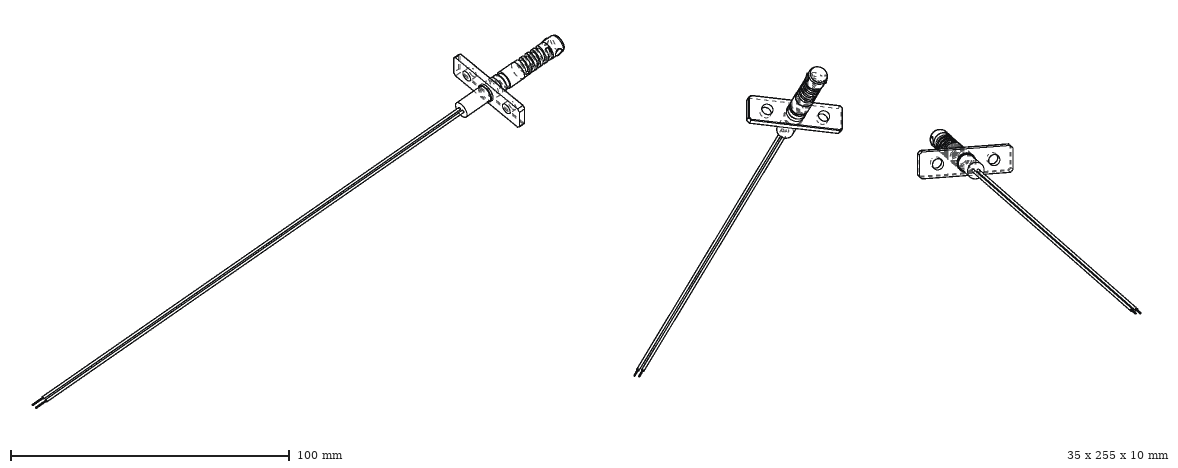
import cadquery as cq

overall_length = 254.99

plate_width = 35.0
plate_height = 10.0
plate_thickness = 2.8
plate_corner_chamfer = 1.0
plate_rear_chamfer = 0.3
screw_spacing = 21.0
screw_hole_diameter = 4.1

body_radius = 3.5
shoulder_length = 1.9
ring_radius = 3.4
ring_length = 2.2
neck_radius = 2.9
neck_length = 1.6
barrel_length = 6.8
spiral_length = 14.1
cap_length = 5.6
cap_chamfer_length = 0.8
cap_chamfer_depth = 0.4

pin_diameter = 3.1
pin_length = 2 * body_radius
pin_to_tail = 3.07

spiral_radius = 3.4
groove_pitch = 2.75
groove_turns = 4.2
groove_width = 1.5
groove_depth = 0.9
groove_overcut = 0.5
groove_start_offset = 1.6

sleeve_radius = 3.1
sleeve_length = 12.3
collar_radius = 3.5
collar_length = 0.8

fibre_spacing = 1.8
jacket_radius = 0.5
bare_fibre_radius = 0.25
bare_fibre_length = 5.0

ring_start = plate_thickness + shoulder_length
neck_start = ring_start + ring_length
barrel_start = neck_start + neck_length
spiral_start = barrel_start + barrel_length
cap_start = spiral_start + spiral_length
tail_end = cap_start + cap_length
tip_end = tail_end - overall_length


def rod(radius, start, end, x=0.0):
    """Cylinder parallel to Y from start to end."""
    return cq.Workplane("XZ", origin=(x, start, 0)).circle(radius).extrude(start - end)


def make_plate():
    plate = cq.Workplane("XZ").rect(plate_width, plate_height).extrude(-plate_thickness)
    plate = plate.edges("|Y").chamfer(plate_corner_chamfer)
    plate = plate.faces(">Y").chamfer(plate_rear_chamfer)
    for side in (-1, 1):
        x = side * screw_spacing / 2
        plate = plate.cut(rod(screw_hole_diameter / 2, 0, plate_thickness, x))
    return plate


def make_spiral_groove():
    """Swept square-sided groove; it starts on the +X side and runs towards the tail."""
    floor_radius = spiral_radius - groove_depth
    outer_radius = spiral_radius + groove_overcut
    middle_radius = (floor_radius + outer_radius) / 2
    path = cq.Wire.makeHelix(groove_pitch, groove_turns * groove_pitch, middle_radius, lefthand=True)
    groove = (
        cq.Workplane("XZ", origin=(middle_radius, 0, 0))
        .rect(outer_radius - floor_radius, groove_width)
        .sweep(cq.Workplane(path), isFrenet=True)
    )
    groove = groove.rotate((0, 0, 0), (1, 0, 0), -90)
    return groove.translate((0, spiral_start + groove_start_offset, 0))


def make_cap():
    bevel_start = tail_end - cap_chamfer_length
    cap = rod(body_radius, cap_start, bevel_start)
    bevel = (
        cq.Workplane("XY", origin=(0, bevel_start, 0))
        .lineTo(body_radius, 0)
        .lineTo(body_radius - cap_chamfer_depth, cap_chamfer_length)
        .lineTo(0, cap_chamfer_length)
        .close()
        .revolve(360, (0, 0, 0), (0, 1, 0))
    )
    pin = (
        cq.Workplane("YZ", origin=(0, tail_end - pin_to_tail, 0))
        .circle(pin_diameter / 2)
        .extrude(pin_length / 2, both=True)
    )
    return cap.union(bevel).union(pin)


def make_body():
    body = rod(body_radius, 0, ring_start)
    body = body.union(rod(ring_radius, ring_start, neck_start))
    body = body.union(rod(neck_radius, neck_start, barrel_start))
    body = body.union(rod(body_radius, barrel_start, spiral_start))
    spiral = rod(spiral_radius, spiral_start, cap_start).cut(make_spiral_groove())
    return body.union(spiral).union(make_cap())


def make_sleeve():
    sleeve = rod(sleeve_radius, -sleeve_length, 0)
    return sleeve.union(rod(collar_radius, -collar_length, 0))


def make_fibre(side):
    x = side * fibre_spacing / 2
    jacket_start = tip_end + bare_fibre_length
    jacket = rod(jacket_radius, jacket_start, -sleeve_length, x)
    return jacket.union(rod(bare_fibre_radius, tip_end, jacket_start, x))


result = make_plate().union(make_body()).union(make_sleeve())
for fibre_side in (-1, 1):
    result = result.union(make_fibre(fibre_side))